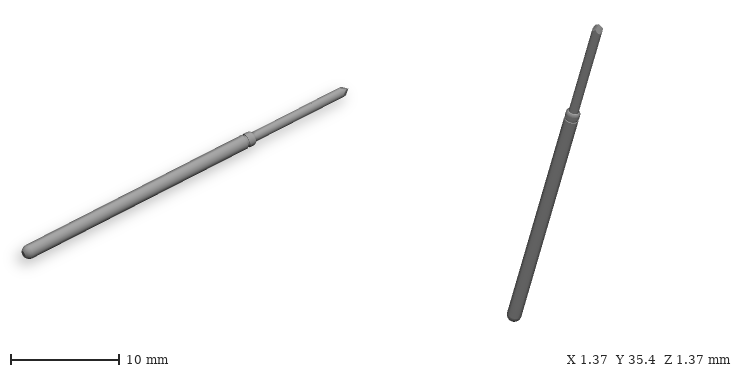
import math
import cadquery as cq

total_length = 35.4
barrel_radius = 1.37 / 2

barrel_length = 25.0
rear_round_length = 0.6
rear_flat_radius = 0.36
groove_start = 24.05
groove_width = 0.25
groove_depth = 0.1
nose_length = 0.3
nose_drop = 0.12

stem_radius = 0.47
plunger_radius = 0.475
plunger_front_length = 4.0

facet_count = 3
facet_half_angle = math.radians(30)


def tangent_arc_middle(length, drop):
    """Middle of an end arc tangent to the barrel side.

    Returns its distance from the barrel end and its depth below the barrel side,
    for an arc that drops by the given amount over the given length.
    """
    arc_radius = (length**2 + drop**2) / (2 * drop)
    half_sweep = math.asin(length / arc_radius) / 2
    distance_from_end = length - arc_radius * math.sin(half_sweep)
    depth = arc_radius * (1 - math.cos(half_sweep))
    return distance_from_end, depth


def make_barrel():
    """Barrel with a rounded rear end, a ring groove and a rounded collar nose."""
    groove_end = groove_start + groove_width
    groove_radius = barrel_radius - groove_depth

    rear_drop = barrel_radius - rear_flat_radius
    rear_arc_y, rear_arc_z = tangent_arc_middle(rear_round_length, rear_drop)
    nose_arc_y, nose_arc_z = tangent_arc_middle(nose_length, nose_drop)

    nose_start = barrel_length - nose_length
    profile = (
        cq.Workplane("YZ")
        .moveTo(0, 0)
        .lineTo(0, rear_flat_radius)
        .threePointArc((rear_arc_y, barrel_radius - rear_arc_z), (rear_round_length, barrel_radius))
        .lineTo(groove_start, barrel_radius)
        .lineTo(groove_start, groove_radius)
        .lineTo(groove_end, groove_radius)
        .lineTo(groove_end, barrel_radius)
        .lineTo(nose_start, barrel_radius)
        .threePointArc(
            (barrel_length - nose_arc_y, barrel_radius - nose_arc_z),
            (barrel_length, barrel_radius - nose_drop),
        )
        .lineTo(barrel_length, 0)
        .close()
    )
    return profile.revolve(360, (0, 0, 0), (1, 0, 0))


def make_plunger():
    """Stepped round plunger, cut to length at the tip of the point."""
    step_y = total_length - plunger_front_length
    profile = (
        cq.Workplane("YZ")
        .moveTo(barrel_length, 0)
        .lineTo(barrel_length, stem_radius)
        .lineTo(step_y, stem_radius)
        .lineTo(step_y, plunger_radius)
        .lineTo(total_length, plunger_radius)
        .lineTo(total_length, 0)
        .close()
    )
    return profile.revolve(360, (0, 0, 0), (1, 0, 0))


def cut_point(body):
    """Cut the equal facets that meet at the tip; one facet faces +X."""
    facet_length = plunger_radius / math.tan(facet_half_angle)
    wedge = (
        cq.Workplane("XY")
        .moveTo(0, total_length)
        .lineTo(plunger_radius, total_length - facet_length)
        .lineTo(plunger_radius, total_length)
        .close()
        .extrude(plunger_radius, both=True)
    )
    for index in range(facet_count):
        angle = index * 360 / facet_count
        body = body.cut(wedge.rotate((0, 0, 0), (0, 1, 0), angle))
    return body


result = cut_point(make_barrel().union(make_plunger()))